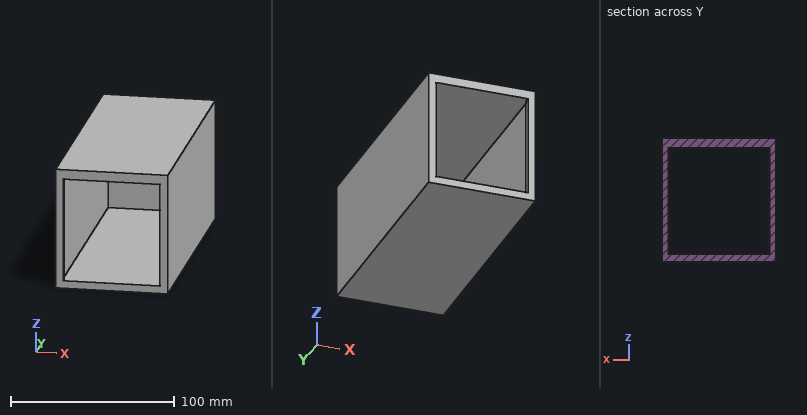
import cadquery as cq

width = 70.0
length = 160.0
height = 76.2

side_wall = 4.0
bottom_wall = 5.0
top_wall = 6.0
end_wall = 5.0

lip_overhang = 1.0
lip_depth = 3.5

cavity_width = width - 2 * side_wall
cavity_height = height - bottom_wall - top_wall
mouth_width = cavity_width - 2 * lip_overhang


def cavity_section(section_width, start, end):
    """Return a block between two Y positions, spanning the cavity height."""
    section = cq.Workplane("XY").box(section_width, end - start, cavity_height, centered=(True, False, False))
    return section.translate((0, start, bottom_wall))


block = cq.Workplane("XY").box(width, length, height, centered=(True, False, False))
mouth = cavity_section(mouth_width, 0, lip_depth)
chamber = cavity_section(cavity_width, lip_depth, length - end_wall)

result = block.cut(mouth).cut(chamber)